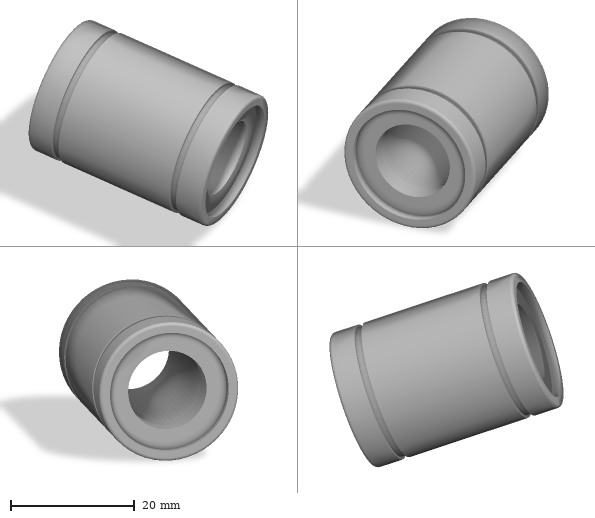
import cadquery as cq

length = 32.0
outer_diameter = 23.0
bore_diameter = 13.0
edge_radius = 0.55

groove_diameter = 22.0
groove_width = 1.2
groove_end_distance = 4.5

recess_diameter = 19.65
recess_depth = 1.5


def disc(diameter, start, thickness):
    """Solid cylinder along X that begins at x = start."""
    return cq.Workplane("YZ").workplane(offset=start).circle(diameter / 2).extrude(thickness)


def ring_groove(start):
    """Ring of material to remove for one groove."""
    blank = disc(outer_diameter, start, groove_width)
    return blank.cut(disc(groove_diameter, start, groove_width))


left_end = -length / 2
right_end = length / 2

body = disc(outer_diameter, left_end, length).edges("%CIRCLE").fillet(edge_radius)

body = body.cut(disc(bore_diameter, left_end, length))

for recess_start in (left_end, right_end - recess_depth):
    body = body.cut(disc(recess_diameter, recess_start, recess_depth))

left_groove_start = left_end + groove_end_distance
right_groove_start = right_end - groove_end_distance - groove_width
for groove_start in (left_groove_start, right_groove_start):
    body = body.cut(ring_groove(groove_start))

result = body